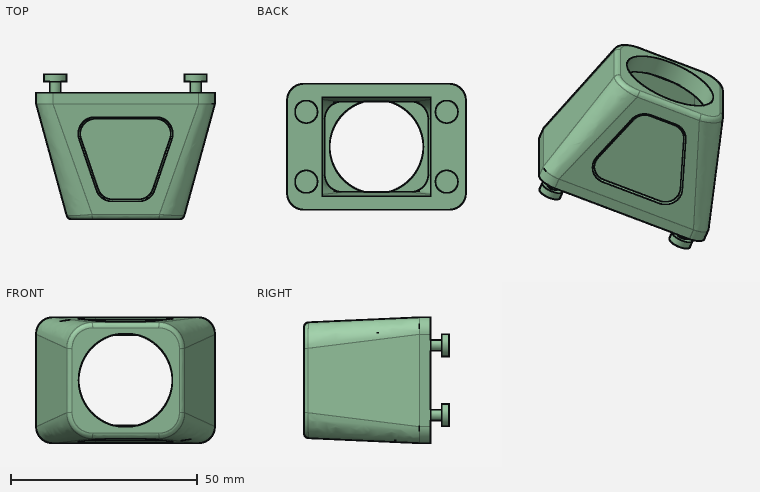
import cadquery as cq
import math

flange_width = 48.0
flange_height = 33.8
flange_radius = 4.5
flange_thickness = 3.0

front_width = 31.0
front_height = front_width
front_radius = 7.0
taper_length = 31.0
front_edge_round = 1.5

bore_radius = 12.55
bore_depth = 5.0

cavity_front_width = 27.75
cavity_front_height = 24.2
cavity_front_radius = 4.65
cavity_back_width = 42.25
cavity_back_height = 26.4
cavity_back_radius = 2.2
inner_wall_span = 29.0

recess_front_y = 4.85
recess_back_y = 27.45
recess_front_width = 13.55
recess_back_width = 28.9
recess_corner_radius = 4.5
recess_depth = 0.55
recess_wall_taper = 45.0

pin_spacing_x = 37.65
pin_spacing_z = 18.7
pin_radius = 1.5
pin_length = 3.0
pin_head_radius = 3.0
pin_head_thickness = 2.0

flange_back_y = taper_length + flange_thickness


def section_at(y):
    """Workplane across the hood at depth y, extruding toward +Y."""
    return cq.Workplane(cq.Plane(origin=(0, y, 0), xDir=(-1, 0, 0), normal=(0, 1, 0)))


def rounded_rectangle(size):
    """Sketch of a rectangle with rounded corners, from (width, height, radius)."""
    width, height, radius = size
    return cq.Sketch().rect(width, height).vertices().fillet(radius)


def rounded_prism(y_front, size, length):
    return section_at(y_front).placeSketch(rounded_rectangle(size)).extrude(length)


def rounded_frustum(y_front, front_size, y_back, back_size):
    """Ruled solid between two rounded rectangles."""
    front = rounded_rectangle(front_size)
    back = rounded_rectangle(back_size).moved(cq.Location(cq.Vector(0, 0, y_back - y_front)))
    return section_at(y_front).placeSketch(front, back).loft(ruled=True)


def make_hood():
    flange_size = (flange_width, flange_height, flange_radius)
    taper = rounded_frustum(0, (front_width, front_height, front_radius), taper_length, flange_size)
    taper = taper.faces("<Y").edges().fillet(front_edge_round)
    flange = rounded_prism(taper_length, flange_size, flange_thickness)
    return taper.union(flange)


def make_cavity():
    front_size = (cavity_front_width, cavity_front_height, cavity_front_radius)
    back_size = (cavity_back_width, cavity_back_height, cavity_back_radius)
    cavity = rounded_frustum(bore_depth, front_size, taper_length, back_size)
    cavity = cavity.union(rounded_prism(taper_length, back_size, flange_thickness))
    inner_limit = section_at(0).rect(inner_wall_span, flange_height).extrude(flange_back_y)
    bore = section_at(0).circle(bore_radius).extrude(bore_depth)
    return cavity.intersect(inner_limit).union(bore)


def make_top_recess():
    """Recess with sloping walls, sunk square to the tilted top face."""
    rise = (flange_height - front_height) / 2
    tilt = math.atan2(rise, taper_length)
    top_face = cq.Plane(
        origin=(0, 0, front_height / 2),
        xDir=(1, 0, 0),
        normal=(0, -math.sin(tilt), math.cos(tilt)),
    )
    front = recess_front_y / math.cos(tilt)
    back = recess_back_y / math.cos(tilt)
    outline = [
        (-recess_front_width / 2, front),
        (recess_front_width / 2, front),
        (recess_back_width / 2, back),
        (-recess_back_width / 2, back),
    ]
    sketch = cq.Sketch().polygon(outline + outline[:1]).vertices().fillet(recess_corner_radius)
    return cq.Workplane(top_face).placeSketch(sketch).extrude(-recess_depth, taper=recess_wall_taper)


def four_cylinders(y_front, radius, length):
    """One cylinder at each pin position."""
    corners = section_at(y_front).rect(pin_spacing_x, pin_spacing_z, forConstruction=True).vertices()
    return corners.circle(radius).extrude(length)


def make_pins():
    stems = four_cylinders(flange_back_y, pin_radius, pin_length)
    heads = four_cylinders(flange_back_y + pin_length, pin_head_radius, pin_head_thickness)
    return stems.union(heads)


top_recess = make_top_recess()
bottom_recess = top_recess.mirror("XY")

result = make_hood().cut(make_cavity()).cut(top_recess).cut(bottom_recess).union(make_pins())